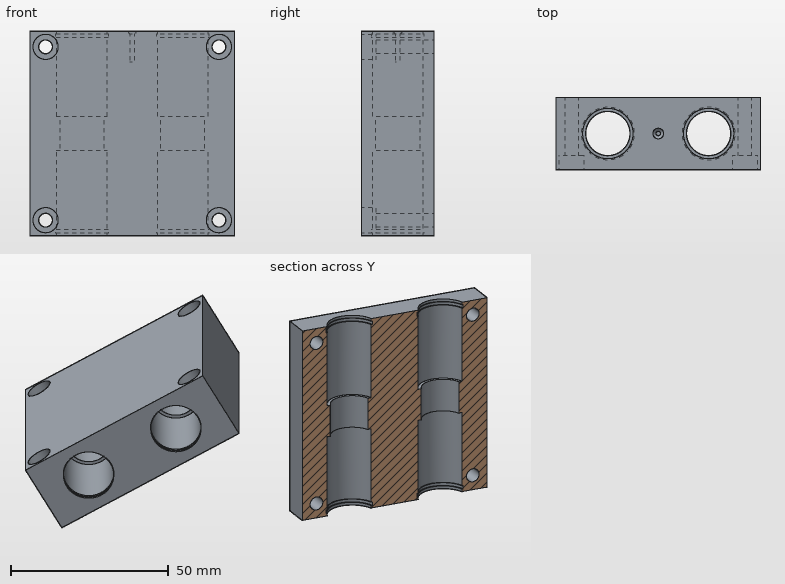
import cadquery as cq

side = 65.0
depth = 23.0

mount_inset = 5.0
mount_diameter = 4.3
mount_bore_diameter = 8.0
mount_bore_depth = 4.55

bore_spacing = 32.0
passage_diameter = 14.0
pocket_diameter = 16.0
pocket_depth = 27.1
groove_diameter = 16.8
groove_offset = 1.0
groove_width = 1.1

port_mouth_diameter = 3.4
port_diameter = 1.4
port_sink_angle = 90.0
port_depth = 9.75


def vertical_cylinder(diameter, bottom, height):
    """Cylinder on the Z axis, starting at the given height."""
    return cq.Workplane("XY").workplane(offset=bottom).circle(diameter / 2).extrude(height)


def bore_cutter():
    """Material removed by one vertical bore, on the Z axis."""
    top = side / 2
    groove_bottom = top - groove_offset - groove_width
    pocket = vertical_cylinder(pocket_diameter, top - pocket_depth, pocket_depth)
    groove = vertical_cylinder(groove_diameter, groove_bottom, groove_width)
    upper_end = pocket.union(groove)
    passage = vertical_cylinder(passage_diameter, -top, side)
    return passage.union(upper_end).union(upper_end.mirror("XY"))


block = cq.Workplane("XY").box(side, depth, side)

mount_spacing = side - 2 * mount_inset
block = (
    block.faces("<Y")
    .workplane(centerOption="CenterOfBoundBox")
    .rect(mount_spacing, mount_spacing, forConstruction=True)
    .vertices()
    .cboreHole(mount_diameter, mount_bore_diameter, mount_bore_depth)
)

block = (
    block.faces(">Z")
    .workplane(centerOption="CenterOfBoundBox")
    .cskHole(port_diameter, port_mouth_diameter, port_sink_angle, port_depth)
)

for bore_x in (-bore_spacing / 2, bore_spacing / 2):
    block = block.cut(bore_cutter().translate((bore_x, 0, 0)))

result = block